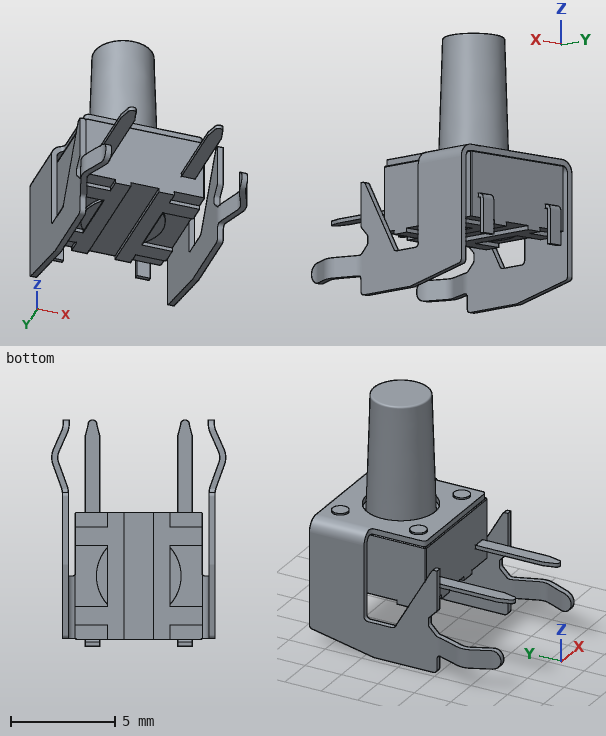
import cadquery as cq
import math


sheet = 0.3
plate_half = 3.0
plate_top = 6.55
plate_bottom = plate_top - sheet
sheet_corner_radius = 0.2
fold_radius = 0.66
arm_outer = plate_half + fold_radius
arm_middle = arm_outer - sheet / 2
arm_top = plate_top - fold_radius
button_hole_radius = 1.86

arm_front = -4.0
arm_rear_bottom = 0.74
arm_slope_end = -0.55
window_bottom = 1.86
window_front = -1.65
horn_top = 5.5
horn_slope_top = -3.75
notch_depth = 0.47
notch_top = 3.33

tab_bottom = 0.97
tab_width = 1.0
tab_top = tab_bottom + tab_width
notch_middle = (tab_top + notch_top) / 2
tab_start = -3.92
tab_tip = -7.5
tab_peak = 4.184 - sheet / 2
tab_end = 3.48
tab_out_angle = math.radians(20)
tab_back_angle = math.radians(24)
tab_wide_bend = 1.15
tab_peak_bend = 0.85

base_chamfer = 0.05
base_half = plate_half + base_chamfer
base_bottom = 3.03
foot_bottom = 2.83
foot_inner = 0.71
foot_outer = 1.51
side_gap_half = 1.46
corner_relief = 0.71
disc_radius = 2.03
disc_height = 0.14

post_radius = 0.42
post_pitch = 4.29
post_top = 6.63
button_base_radius = 1.7
button_top_radius = 1.5
button_top = 12.47
button_fillet = 0.1

lead_offset = 2.22
lead_width = 0.7
lead_thickness = 0.2
lead_bottom = 4.02
lead_top = lead_bottom + lead_thickness
lead_rear = 3.38
lead_leg_bottom = 2.26
lead_bend_radius = 0.3
lead_taper_start = -6.73
lead_round_start = -7.27
lead_tip = -7.5
lead_tip_half = 0.21


def block(x0, x1, y0, y1, z0, z1):
    """Box between two opposite corners."""
    return cq.Workplane("XY").box(x1 - x0, y1 - y0, z1 - z0, centered=False).translate((x0, y0, z0))


def make_lead(x):
    """One strip through the base: a pointed pin in front and a leg bent down behind."""
    strip = block(-lead_width / 2, lead_width / 2, lead_tip, lead_rear, lead_bottom, lead_top)
    leg = block(-lead_width / 2, lead_width / 2, lead_rear - lead_thickness, lead_rear,
                lead_leg_bottom, lead_top)
    bent = strip.union(leg)
    bent = bent.edges("|X and >Y and >Z").fillet(lead_bend_radius)
    inner_edge = cq.selectors.NearestToPointSelector((0, lead_rear - lead_thickness, lead_bottom))
    bent = bent.edges("|X").edges(inner_edge).fillet(lead_bend_radius - lead_thickness)
    plan = (
        cq.Workplane("XY")
        .moveTo(-lead_width / 2, lead_rear)
        .lineTo(-lead_width / 2, lead_taper_start)
        .lineTo(-lead_tip_half, lead_round_start)
        .threePointArc((0, lead_tip), (lead_tip_half, lead_round_start))
        .lineTo(lead_width / 2, lead_taper_start)
        .lineTo(lead_width / 2, lead_rear)
        .close()
        .extrude(plate_top)
    )
    return bent.intersect(plan).translate((x, 0, 0))


def make_feet():
    """Feet under the base, with an open channel along Y and a raised disc between the sides."""
    feet = block(-base_half, base_half, -base_half, base_half, foot_bottom, base_bottom)
    for side in (-1, 1):
        side_gap = block(foot_outer, base_half, -side_gap_half, side_gap_half, foot_bottom, base_bottom)
        front_relief = block(foot_outer, base_half, -base_half, corner_relief - base_half,
                             foot_bottom, base_bottom)
        rear_relief = front_relief.mirror("XZ")
        cuts = side_gap.union(front_relief).union(rear_relief)
        feet = feet.cut(cuts if side > 0 else cuts.mirror("YZ"))
    disc = cq.Workplane("XY", origin=(0, 0, base_bottom)).circle(disc_radius).extrude(-disc_height)
    channel = block(-foot_inner, foot_inner, -base_half, base_half, foot_bottom, base_bottom)
    return feet.union(disc).cut(channel)


def make_button():
    """Tapered button standing on the base."""
    return (
        cq.Workplane("XZ")
        .moveTo(0, plate_bottom)
        .lineTo(button_base_radius, plate_bottom)
        .lineTo(button_top_radius, button_top)
        .lineTo(0, button_top)
        .close()
        .revolve(360, (0, 0, 0), (0, 1, 0))
        .faces(">Z")
        .edges()
        .fillet(button_fillet)
    )


def make_posts():
    """Four rivet posts that pass through the bracket plate."""
    return (
        cq.Workplane("XY", origin=(0, 0, plate_bottom))
        .rect(post_pitch, post_pitch, forConstruction=True)
        .vertices()
        .circle(post_radius)
        .extrude(post_top - plate_bottom)
    )


def make_base(leads):
    """Base block in one piece with its feet, posts and button, and a fitting passage for each lead."""
    base = block(-base_half, base_half, -base_half, base_half, base_bottom, plate_bottom)
    base = base.edges("|Z").chamfer(base_chamfer)
    base = base.faces(">Z").edges().chamfer(base_chamfer)
    base = base.union(make_feet()).union(make_posts()).union(make_button())
    for lead in leads:
        base = base.cut(lead)
    return base


def make_arm_sheet():
    """Right-hand arm before trimming: flat above the notch, bent out and back along the tab below it."""
    bends_width = tab_wide_bend + tab_peak_bend
    out_rise = tab_peak - arm_middle - bends_width * (1 - math.cos(tab_out_angle))
    back_fall = tab_peak - tab_end - bends_width * (1 - math.cos(tab_back_angle))
    out_length = out_rise / math.sin(tab_out_angle)
    back_length = back_fall / math.sin(tab_back_angle)

    legs = [
        (plate_half - tab_start, tab_wide_bend, tab_out_angle),
        (out_length, tab_peak_bend, -tab_out_angle - tab_back_angle),
        (back_length, tab_wide_bend, tab_back_angle),
    ]
    x, y, heading = arm_middle, plate_half, 0.0
    path = cq.Workplane("XY").moveTo(x, y)
    for length, radius, turn in legs:
        x += length * math.sin(heading)
        y -= length * math.cos(heading)
        path = path.lineTo(x, y)
        signed_radius = math.copysign(radius, turn)
        centre_x = x + signed_radius * math.cos(heading)
        centre_y = y + signed_radius * math.sin(heading)
        middle, heading = heading + turn / 2, heading + turn
        x = centre_x - signed_radius * math.cos(heading)
        y = centre_y - signed_radius * math.sin(heading)
        middle_point = (centre_x - signed_radius * math.cos(middle),
                        centre_y - signed_radius * math.sin(middle))
        path = path.threePointArc(middle_point, (x, y))
    path = path.lineTo(x, tab_tip)
    section = cq.Workplane("XZ", origin=(arm_middle, plate_half, notch_middle / 2)).rect(sheet, notch_middle)
    upper = block(arm_outer - sheet, arm_outer, arm_front, plate_half, notch_middle, arm_top)
    return section.sweep(path).union(upper)


def make_arm_outline():
    """Side outline of an arm, extruded across X so that it trims the strip."""
    tab_radius = tab_width / 2
    notch_back = arm_front + notch_depth
    tab_root_top = (arm_front, tab_top)
    rear_bottom = (plate_half, arm_rear_bottom)
    slope_end = (arm_slope_end, 0)
    before_tab = [rear_bottom, slope_end, (arm_front, 0), (arm_front, tab_bottom)]
    after_tab = [
        tab_root_top,
        (notch_back, tab_top + notch_depth),
        (notch_back, notch_top - notch_depth),
        (arm_front, notch_top),
        (arm_front, horn_top),
        (horn_slope_top, horn_top),
        (window_front, window_bottom),
        (0, window_bottom),
    ]
    outline = cq.Workplane("YZ").moveTo(plate_half, arm_top)
    for point in before_tab:
        outline = outline.lineTo(*point)
    outline = outline.lineTo(tab_tip + tab_radius, tab_bottom)
    outline = outline.threePointArc((tab_tip, tab_bottom + tab_radius), (tab_tip + tab_radius, tab_top))
    for point in after_tab:
        outline = outline.lineTo(*point)
    width = tab_peak + sheet
    outline = outline.lineTo(0, arm_top).close().extrude(width)

    for y, z in before_tab + after_tab:
        if (y, z) in (slope_end, (arm_front, horn_top)):
            continue
        corner = cq.selectors.NearestToPointSelector((width / 2, y, z))
        outline = outline.edges("|X").edges(corner).fillet(sheet_corner_radius)
    return outline


def make_fold():
    """Rounded fold from the plate into the right-hand arm, with a small fillet at its front end."""
    profile = (
        cq.Workplane("XZ", origin=(plate_half, plate_half, arm_top))
        .circle(fold_radius)
        .circle(fold_radius - sheet)
        .extrude(plate_half + sheet_corner_radius)
    )
    quarter = block(plate_half, arm_outer, 0, plate_half, arm_top, plate_top)
    front_fillet = (
        cq.Workplane("XY", origin=(plate_half, 0, arm_top))
        .lineTo(0, -sheet_corner_radius)
        .radiusArc((sheet_corner_radius, 0), sheet_corner_radius)
        .close()
        .extrude(fold_radius)
    )
    return profile.intersect(quarter.union(front_fillet))


def make_bracket(posts):
    """Folded sheet bracket: top plate, two folds and two arms with spring tabs."""
    plate = block(-plate_half, plate_half, -plate_half, plate_half, plate_bottom, plate_top)
    plate = plate.edges("|Z and <Y").fillet(sheet_corner_radius)
    hole = cq.Workplane("XY").circle(button_hole_radius).extrude(plate_top)
    side = make_arm_sheet().intersect(make_arm_outline()).union(make_fold())
    return plate.union(side).union(side.mirror("YZ")).cut(hole).cut(posts)


leads = [make_lead(x) for x in (-lead_offset, lead_offset)]
base = make_base(leads)
bracket = make_bracket(make_posts())

result = cq.Compound.makeCompound([base.val(), bracket.val(), *[lead.val() for lead in leads]])